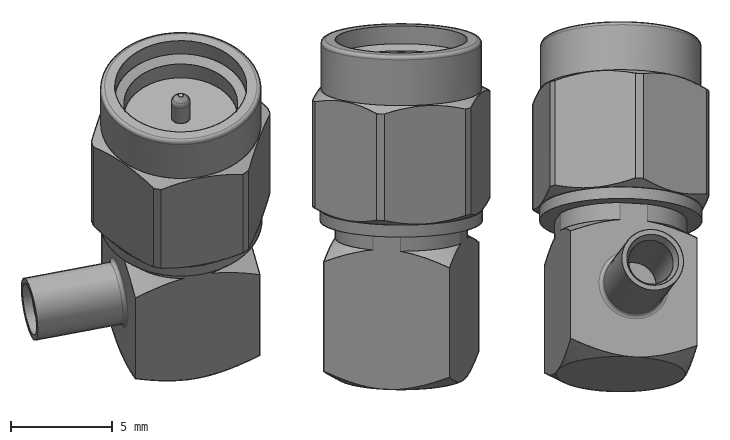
import math

import cadquery as cq


BODY_WIDTH = 6.35
BODY_BOTTOM = -3.7
NECK_RADIUS = 3.25
BEVEL_ANGLE = 30.0

OVERALL_HEIGHT = 16.95
NUT_TOP = BODY_BOTTOM + OVERALL_HEIGHT
NUT_ACROSS_FLATS = 8.0
HEX_SIDES = 6
NUT_CORNER_RADIUS = 4.51
SLEEVE_RADIUS = 3.95
SLEEVE_HEIGHT = 2.5
SLEEVE_EDGE_FILLET = 0.2
HEX_HEIGHT = 6.0
FLANGE_RADIUS = 4.0
FLANGE_THICKNESS = 0.6
HEX_TOP = NUT_TOP - SLEEVE_HEIGHT
HEX_BOTTOM = HEX_TOP - HEX_HEIGHT
FLANGE_BOTTOM = HEX_BOTTOM - FLANGE_THICKNESS
NECK_HEIGHT = 0.87
NECK_BOTTOM = FLANGE_BOTTOM - NECK_HEIGHT

MOUTH_RADIUS = 3.25
MOUTH_DEPTH = 0.9
WELL_RADIUS = 2.8
LEDGE_ANGLE = 30.0
WELL_DEPTH = 2.1

PIN_RADIUS = 0.46
PIN_TIP_RADIUS = 0.13
PIN_TIP_DEPTH = 0.6
PIN_NOSE_ANGLE = 45.0
PIN_BLEND_RADIUS = 0.35

TUBE_RADIUS = 1.55
TUBE_END = 7.71
TUBE_ROOT_FILLET = 0.2
TUBE_BORE_RADIUS = 1.12
TUBE_MOUTH_RADIUS = 1.3
TUBE_TAPER_LENGTH = 0.43


def rise(radial_distance, angle):
    """Height gained by a cone over a radial distance, at an angle from the horizontal."""
    return radial_distance * math.tan(math.radians(angle))


def revolve(outline):
    """Close an outline and revolve it about its workplane's own vertical axis."""
    return outline.close().revolve(360, (0, 0, 0), (0, 1, 0))


def make_body():
    corner_radius = BODY_WIDTH / math.sqrt(2)
    foot_radius = BODY_WIDTH / 2
    foot_rise = rise(corner_radius - foot_radius, BEVEL_ANGLE)
    shoulder_drop = rise(corner_radius - NECK_RADIUS, BEVEL_ANGLE)
    turned = revolve(
        cq.Workplane("XZ")
        .moveTo(0, BODY_BOTTOM)
        .lineTo(foot_radius, BODY_BOTTOM)
        .lineTo(corner_radius, BODY_BOTTOM + foot_rise)
        .lineTo(corner_radius, NECK_BOTTOM - shoulder_drop)
        .lineTo(NECK_RADIUS, NECK_BOTTOM)
        .lineTo(NECK_RADIUS, FLANGE_BOTTOM)
        .lineTo(0, FLANGE_BOTTOM)
    )
    square_bar = (
        cq.Workplane("XY", origin=(0, 0, BODY_BOTTOM))
        .rect(BODY_WIDTH, BODY_WIDTH)
        .extrude(FLANGE_BOTTOM - BODY_BOTTOM)
    )
    return square_bar.intersect(turned)


def make_hex():
    """Hexagon with flats facing +X and -X, turned at its corners and bevelled at both ends."""
    half_side_angle = 180 / HEX_SIDES
    across_corners = NUT_ACROSS_FLATS / math.cos(math.radians(half_side_angle))
    prism = (
        cq.Workplane("XY", origin=(0, 0, HEX_BOTTOM))
        .polygon(HEX_SIDES, across_corners)
        .extrude(HEX_HEIGHT)
        .rotate((0, 0, 0), (0, 0, 1), half_side_angle)
    )
    bevel_rise = rise(NUT_CORNER_RADIUS - SLEEVE_RADIUS, BEVEL_ANGLE)
    turned = revolve(
        cq.Workplane("XZ")
        .moveTo(0, HEX_BOTTOM)
        .lineTo(SLEEVE_RADIUS, HEX_BOTTOM)
        .lineTo(NUT_CORNER_RADIUS, HEX_BOTTOM + bevel_rise)
        .lineTo(NUT_CORNER_RADIUS, HEX_TOP - bevel_rise)
        .lineTo(SLEEVE_RADIUS, HEX_TOP)
        .lineTo(0, HEX_TOP)
    )
    return prism.intersect(turned)


def make_sleeve():
    sleeve = cq.Workplane("XY", origin=(0, 0, HEX_TOP)).circle(SLEEVE_RADIUS).extrude(SLEEVE_HEIGHT)
    return sleeve.faces(">Z").edges().fillet(SLEEVE_EDGE_FILLET)


def make_flange():
    return cq.Workplane("XY", origin=(0, 0, FLANGE_BOTTOM)).circle(FLANGE_RADIUS).extrude(FLANGE_THICKNESS)


def make_socket():
    """Cavity to remove from the top of the nut."""
    ledge_top = NUT_TOP - MOUTH_DEPTH
    ledge_bottom = ledge_top - rise(MOUTH_RADIUS - WELL_RADIUS, LEDGE_ANGLE)
    floor = NUT_TOP - WELL_DEPTH
    return revolve(
        cq.Workplane("XZ")
        .moveTo(0, floor)
        .lineTo(WELL_RADIUS, floor)
        .lineTo(WELL_RADIUS, ledge_bottom)
        .lineTo(MOUTH_RADIUS, ledge_top)
        .lineTo(MOUTH_RADIUS, NUT_TOP)
        .lineTo(0, NUT_TOP)
    )


def make_pin():
    tip = NUT_TOP - PIN_TIP_DEPTH
    floor = NUT_TOP - WELL_DEPTH
    nose_angle = math.radians(PIN_NOSE_ANGLE)
    nose_base_radius = PIN_RADIUS - PIN_BLEND_RADIUS * (1 - math.cos(nose_angle))
    nose_base = tip - (nose_base_radius - PIN_TIP_RADIUS) / math.tan(nose_angle)
    shank_top = nose_base - PIN_BLEND_RADIUS * math.sin(nose_angle)
    return revolve(
        cq.Workplane("XZ")
        .moveTo(0, floor)
        .lineTo(PIN_RADIUS, floor)
        .lineTo(PIN_RADIUS, shank_top)
        .tangentArcPoint((nose_base_radius, nose_base), relative=False)
        .lineTo(PIN_TIP_RADIUS, tip)
        .lineTo(0, tip)
    )


def make_tube():
    """Tube from the -Y face of the body, with a concave fillet at its root."""
    root = -BODY_WIDTH / 2
    fillet_end = root - TUBE_ROOT_FILLET
    fillet_radius = TUBE_RADIUS + TUBE_ROOT_FILLET
    fillet_mid_offset = TUBE_ROOT_FILLET * (1 - math.sqrt(0.5))
    outer = revolve(
        cq.Workplane("XY")
        .moveTo(0, root)
        .lineTo(fillet_radius, root)
        .threePointArc(
            (TUBE_RADIUS + fillet_mid_offset, root - fillet_mid_offset),
            (TUBE_RADIUS, fillet_end),
        )
        .lineTo(TUBE_RADIUS, -TUBE_END)
        .lineTo(0, -TUBE_END)
    )
    taper_end = -TUBE_END + TUBE_TAPER_LENGTH
    bore = revolve(
        cq.Workplane("XY")
        .moveTo(0, root)
        .lineTo(TUBE_BORE_RADIUS, root)
        .lineTo(TUBE_BORE_RADIUS, taper_end)
        .lineTo(TUBE_MOUTH_RADIUS, -TUBE_END)
        .lineTo(0, -TUBE_END)
    )
    return outer.cut(bore)


nut = make_hex().union(make_sleeve()).union(make_flange()).cut(make_socket())
result = make_body().union(nut).union(make_pin()).union(make_tube())